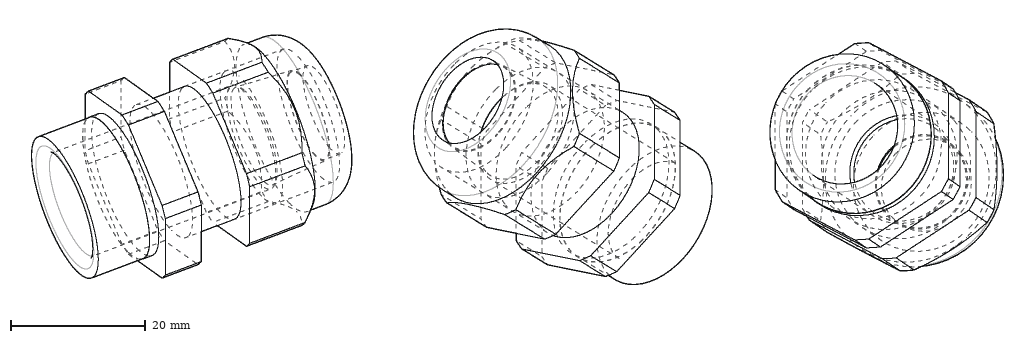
import cadquery as cq
import math

total_length = 43.0
across_flats = 27.0

collar_start = 8.5
body_hex_start = 10.0
body_hex_end = 16.0
thread_radius = 11.25
collar_radius = 11.3
neck_radius = 10.58
bore_radius = 8.25
mouth_fillet = 1.5
body_corner_radius = 14.95

nut_start = 24.05
nut_bevel_start = 33.25
nut_bevel_end = 35.0
dome_radius = 13.35
dome_fillet = 5.0
nut_corner_radius = 15.0
nut_hole_radius = 7.0

seal_start = 30.95
seal_end = 40.4
seal_throat_radius = 7.8
seal_back_radius = 7.2


def revolve_profile(profile):
    """Turn a (radius, Y) half profile once around the Y axis."""
    return profile.close().revolve(360, (0, 0, 0), (0, 1, 0))


def cylinder(radius, start, end):
    """Solid cylinder on the Y axis between two Y positions."""
    return cq.Workplane("XZ", origin=(0, start, 0)).circle(radius).extrude(start - end)


def hex_prism(flats, start, end, turn=0):
    """Hexagonal prism on the Y axis; without a turn its corners point along Z."""
    corner_diameter = flats / math.cos(math.radians(30))
    prism = cq.Workplane("XZ", origin=(0, start, 0)).polygon(6, corner_diameter).extrude(start - end)
    return prism.rotate((0, 0, 0), (0, 1, 0), 30 + turn)


def make_body():
    """Threaded stub, collar, hexagon and neck around a bore with a rounded mouth."""
    hexagon = hex_prism(across_flats, body_hex_start, body_hex_end)
    corner_cut = hex_prism(2 * body_corner_radius, body_hex_start, body_hex_end, turn=30)
    outside = (
        cylinder(thread_radius, 0, collar_start)
        .union(cylinder(collar_radius, collar_start, body_hex_start))
        .union(hexagon.intersect(corner_cut))
        .union(cylinder(neck_radius, body_hex_end, seal_start))
    )
    mouth_radius = bore_radius + mouth_fillet
    arc_inset = mouth_fillet * (1 - math.sqrt(0.5))
    bore = revolve_profile(
        cq.Workplane("XY")
        .lineTo(mouth_radius, 0)
        .threePointArc(
            (bore_radius + arc_inset, arc_inset),
            (bore_radius, mouth_fillet),
        )
        .lineTo(bore_radius, seal_start)
        .lineTo(0, seal_start)
    )
    return outside.cut(bore)


def make_clamping_nut():
    """Hexagon with rounded corners and a bevel, a domed end and a stepped bore."""
    hexagon = hex_prism(across_flats, nut_start, nut_bevel_end)
    bevelled_blank = revolve_profile(
        cq.Workplane("XY")
        .moveTo(0, nut_start)
        .lineTo(nut_corner_radius, nut_start)
        .lineTo(nut_corner_radius, nut_bevel_start)
        .lineTo(dome_radius, nut_bevel_end)
        .lineTo(0, nut_bevel_end)
    )
    dome = cylinder(dome_radius, nut_bevel_start, total_length).faces(">Y").edges().fillet(dome_fillet)
    return (
        hexagon.intersect(bevelled_blank)
        .union(dome)
        .cut(cylinder(neck_radius, nut_start, seal_end))
        .cut(cylinder(nut_hole_radius, seal_end, total_length))
    )


def make_seal():
    """Ring with a 45 degree lead-in from the body bore, then a slower taper to the back."""
    lead_in = bore_radius - seal_throat_radius
    return revolve_profile(
        cq.Workplane("XY")
        .moveTo(bore_radius, seal_start)
        .lineTo(neck_radius, seal_start)
        .lineTo(neck_radius, seal_end)
        .lineTo(seal_back_radius, seal_end)
        .lineTo(seal_throat_radius, seal_start + lead_in)
    )


gland_body = make_body()
clamping_nut = make_clamping_nut()
seal = make_seal()

result = cq.Compound.makeCompound([gland_body.val(), clamping_nut.val(), seal.val()])